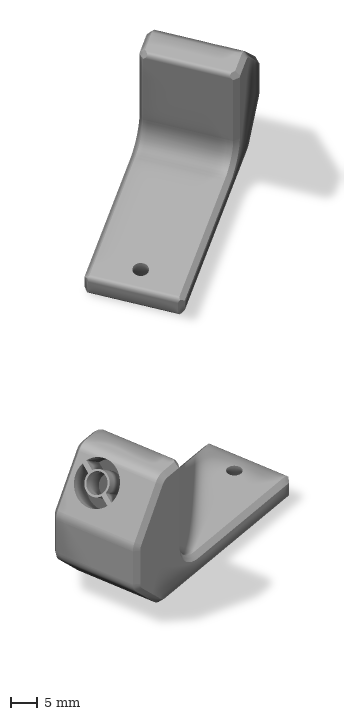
import cadquery as cq
import math

width = 20.0
length = 51.2
height = 30.05

plate_thickness = 4.95
upright_depth = 15.0
slope_angle = 55.0
slope_top_inset = 8.45
bottom_bevel = 8.0
inner_radius = 5.2
back_radius = 3.0

edge_chamfer = 1.0
edge_radius = 1.0
corner_facet_leg = 2.3

plate_hole_diameter = 3.2
plate_hole_inset = 5.0

recess_diameter = 10.0
recess_depth = 5.0
recess_x = 2.95
recess_back_inset = 5.0
tube_outer_diameter = 5.5
tube_bore = 4.6
web_thickness = 1.0
web_angle = -35.0

front_y = -length / 2
back_y = length / 2
upright_y = back_y - upright_depth
slope_rise = math.tan(math.radians(slope_angle))
slope_bottom_z = height - slope_top_inset * slope_rise


def x_edges(body, y, z):
    """Edges running along X closest to the given profile point."""
    return body.edges(cq.selectors.NearestToPointSelector((0, y, z)))


def make_body():
    """Extruded profile with rounded bends, chamfered sides and rounded end edges."""
    body = (
        cq.Workplane("YZ")
        .moveTo(front_y, 0)
        .lineTo(back_y - bottom_bevel, 0)
        .lineTo(back_y, bottom_bevel)
        .lineTo(back_y, slope_bottom_z)
        .lineTo(back_y - slope_top_inset, height)
        .lineTo(upright_y, height)
        .lineTo(upright_y, plate_thickness)
        .lineTo(front_y, plate_thickness)
        .close()
        .extrude(width / 2, both=True)
    )
    back_bends = [
        (back_y - bottom_bevel, 0),
        (back_y, bottom_bevel),
        (back_y, slope_bottom_z),
        (back_y - slope_top_inset, height),
    ]
    for y, z in back_bends:
        body = x_edges(body, y, z).fillet(back_radius)
    body = x_edges(body, upright_y, plate_thickness).fillet(inner_radius)
    body = body.faces("<X or >X").edges().chamfer(edge_chamfer)

    end_edges = [(front_y, 0), (front_y, plate_thickness), (upright_y, height)]
    for y, z in end_edges:
        body = x_edges(body, y, z).fillet(edge_radius)
    return body


def make_recess():
    """Ring split in two by a pair of webs, plus the bore inside its tube."""
    slope_normal = (0, math.sin(math.radians(slope_angle)), math.cos(math.radians(slope_angle)))
    center = (recess_x, back_y - recess_back_inset, slope_bottom_z + recess_back_inset * slope_rise)
    slope_plane = cq.Plane(origin=center, xDir=(1, 0, 0), normal=slope_normal)
    ring = (
        cq.Workplane(slope_plane)
        .circle(recess_diameter / 2)
        .circle(tube_outer_diameter / 2)
        .extrude(recess_depth, both=True)
    )
    webs = (
        cq.Workplane(slope_plane)
        .transformed(rotate=(0, 0, web_angle))
        .rect(recess_diameter, web_thickness)
        .extrude(recess_depth, both=True)
    )
    bore = cq.Workplane(slope_plane).circle(tube_bore / 2).extrude(-recess_depth)
    return ring.cut(webs).union(bore)


def make_plate_hole():
    """Through hole near the free end of the plate."""
    return (
        cq.Workplane("XY")
        .center(0, front_y + plate_hole_inset)
        .circle(plate_hole_diameter / 2)
        .extrude(plate_thickness)
    )


def make_corner_cut():
    """Block whose inner face trims the upper +X front corner with an equally inclined facet."""
    facet_point = (width / 2 - corner_facet_leg, upright_y, height)
    facet_plane = cq.Plane(origin=facet_point, xDir=(1, 1, 0), normal=(1, -1, 1))
    block_size = 4 * corner_facet_leg
    return cq.Workplane(facet_plane).rect(block_size, block_size).extrude(corner_facet_leg)


corner_cut = make_corner_cut()
result = (
    make_body()
    .cut(corner_cut)
    .cut(corner_cut.mirror("YZ"))
    .cut(make_recess())
    .cut(make_plate_hole())
)